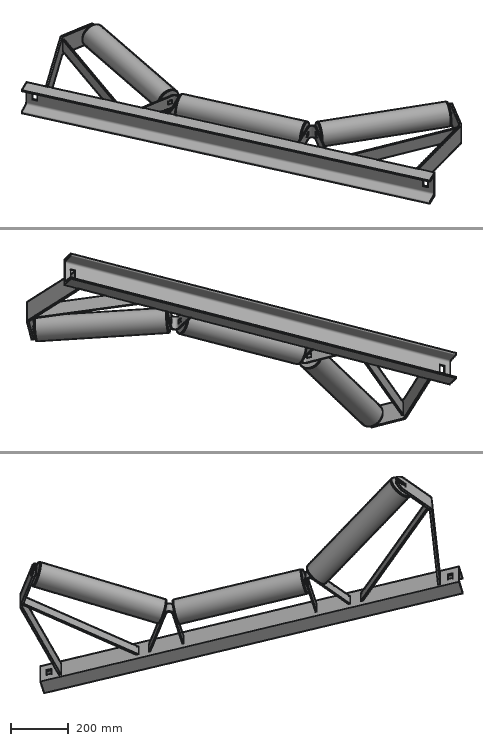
import cadquery as cq
import math


CHANNEL_LENGTH = 1500.0
CHANNEL_HEIGHT = 100.0
CHANNEL_DEPTH = 50.0
WEB_THICKNESS = 6.0
FLANGE_TIP_THICKNESS = 8.0
FLANGE_ROOT_THICKNESS = 10.0
CHANNEL_ROOT_RADIUS = 8.0
CHANNEL_TIP_RADIUS = 5.0
SLOT_WIDTH = 18.0
SLOT_HEIGHT = 32.0
SLOT_END_DISTANCE = 32.0

ROLLER_DIAMETER = 88.0
ROLLER_LENGTH = 464.0
ROLLER_BEVEL_LENGTH = 5.0
ROLLER_BEVEL_DEPTH = 2.0
SHAFT_WIDTH = 14.0
SHAFT_DEPTH = 16.0
TROUGH_ANGLE = 35.0
CENTRE_ROLLER_Y = 115.0
WING_ROLLER_X = 465.0
WING_ROLLER_Y = 262.0

OUTER_HEIGHT = 75.0
INNER_HEIGHT = 50.0
INNER_THICKNESS = 5.0
INNER_GAP = 5.0
INNER_BEND_RADIUS = 16.0
OUTER_THICKNESS = 8.0
OUTER_GAP = 8.0
OUTER_BEND_RADIUS = 18.0
OUTER_TOP_OVER_AXIS = 32.0
OUTER_BEND_UNDER_AXIS = 123.0
OUTER_FOOT_X = 682.0
OUTER_TOP_CHAMFER = 22.0

BRACE_THICKNESS = 6.0
BRACE_HEIGHT = 50.0
BRACE_FOOT_X = 402.0
BRACE_TOP_UNDER_AXIS = 115.0

HALF_ROLLER = ROLLER_LENGTH / 2
INNER_REACH = HALF_ROLLER + INNER_GAP + INNER_THICKNESS
OUTER_REACH = HALF_ROLLER + OUTER_GAP + OUTER_THICKNESS

TILT = math.radians(TROUGH_ANGLE)
WING_AXIS = cq.Vector(math.cos(TILT), math.sin(TILT), 0)
WING_NORMAL = cq.Vector(-math.sin(TILT), math.cos(TILT), 0)
WING_CENTRE = cq.Vector(WING_ROLLER_X, WING_ROLLER_Y, 0)


def wing_point(along, over):
    """Plan point placed along and over the axis of the right wing roller."""
    return WING_CENTRE + WING_AXIS * along + WING_NORMAL * over


def left_normal(direction):
    """Unit plan vector to the left of a direction of travel."""
    return cq.Vector(-direction.y, direction.x, 0).normalized()


def slide_to_mounting_plane(point, direction):
    """Move a point along a direction until it lies on Y = 0."""
    return point - direction * (point.y / direction.y)


def crossing(point_a, direction_a, point_b, direction_b):
    """Plan point where two lines cross."""
    gap = point_b - point_a
    turn = direction_a.cross(direction_b).z
    return point_a + direction_a * (gap.cross(direction_b).z / turn)


def plate(corners, height):
    """Upright plate with the given plan outline, centred on the mid height."""
    outline = [(corner.x, corner.y) for corner in corners]
    return cq.Workplane("XY").polyline(outline).close().extrude(height / 2, both=True)


def folded_plate(outer, inner, thickness, height, bend_radius):
    """Plate with one bend; each face is given as its start, bend and end points."""
    bracket = plate(outer + inner[::-1], height)
    outer_bend = cq.selectors.NearestToPointSelector(outer[1].toTuple())
    inner_bend = cq.selectors.NearestToPointSelector(inner[1].toTuple())
    bracket = bracket.edges("|Z").edges(outer_bend).fillet(bend_radius)
    return bracket.edges("|Z").edges(inner_bend).fillet(bend_radius - thickness)


def place_on_wing(body):
    """Move a body built along the X axis onto the axis of the right wing roller."""
    return body.rotate((0, 0, 0), (0, 0, 1), TROUGH_ANGLE).translate(WING_CENTRE)


def with_mirror_image(body):
    """The right-hand solid and its left-hand copy."""
    return [body.val(), body.mirror("YZ").val()]


def make_channel():
    half_height = CHANNEL_HEIGHT / 2
    root_z = half_height - FLANGE_ROOT_THICKNESS
    tip_z = half_height - FLANGE_TIP_THICKNESS
    channel = (
        cq.Workplane("YZ", origin=(-CHANNEL_LENGTH / 2, 0, 0))
        .moveTo(0, -half_height)
        .lineTo(0, half_height)
        .lineTo(-CHANNEL_DEPTH, half_height)
        .lineTo(-CHANNEL_DEPTH, tip_z)
        .lineTo(-WEB_THICKNESS, root_z)
        .lineTo(-WEB_THICKNESS, -root_z)
        .lineTo(-CHANNEL_DEPTH, -tip_z)
        .lineTo(-CHANNEL_DEPTH, -half_height)
        .close()
        .extrude(CHANNEL_LENGTH)
    )
    for side in (-1, 1):
        root = cq.selectors.NearestToPointSelector((0, -WEB_THICKNESS, side * root_z))
        channel = channel.edges("|X").edges(root).fillet(CHANNEL_ROOT_RADIUS)
        tip = cq.selectors.NearestToPointSelector((0, -CHANNEL_DEPTH, side * tip_z))
        channel = channel.edges("|X").edges(tip).fillet(CHANNEL_TIP_RADIUS)

    slot_x = CHANNEL_LENGTH / 2 - SLOT_END_DISTANCE
    slots = (
        cq.Workplane("XZ")
        .pushPoints([(-slot_x, 0), (slot_x, 0)])
        .rect(SLOT_WIDTH, SLOT_HEIGHT)
        .extrude(WEB_THICKNESS)
    )
    return channel.cut(slots)


def make_shaft(start, end):
    """Flat-sided shaft along the X axis."""
    return (
        cq.Workplane("YZ", origin=(start, 0, 0))
        .rect(SHAFT_DEPTH, SHAFT_WIDTH)
        .extrude(end - start)
    )


def make_roller(left_reach, right_reach):
    """Bevelled roller along the X axis, its shaft reaching past both ends."""
    radius = ROLLER_DIAMETER / 2
    end_radius = radius - ROLLER_BEVEL_DEPTH
    bevel_x = HALF_ROLLER - ROLLER_BEVEL_LENGTH
    barrel = (
        cq.Workplane("XY")
        .moveTo(-HALF_ROLLER, 0)
        .lineTo(-HALF_ROLLER, end_radius)
        .lineTo(-bevel_x, radius)
        .lineTo(bevel_x, radius)
        .lineTo(HALF_ROLLER, end_radius)
        .lineTo(HALF_ROLLER, 0)
        .close()
        .revolve(360, (0, 0, 0), (1, 0, 0))
    )
    return barrel.union(make_shaft(-left_reach, right_reach))


def make_outer_bracket():
    """Folded plate that holds the outer end of the right wing roller."""
    outer_top = wing_point(OUTER_REACH, OUTER_TOP_OVER_AXIS)
    outer_bend = wing_point(OUTER_REACH, -OUTER_BEND_UNDER_AXIS)
    outer_foot = cq.Vector(OUTER_FOOT_X, 0, 0)
    leg = (outer_bend - outer_foot).normalized()

    inner_top = outer_top - WING_AXIS * OUTER_THICKNESS
    leg_face = outer_foot + left_normal(leg) * OUTER_THICKNESS
    inner_bend = crossing(inner_top, WING_NORMAL, leg_face, leg)
    inner_foot = slide_to_mounting_plane(leg_face, leg)
    bracket = folded_plate(
        [outer_foot, outer_bend, outer_top],
        [inner_foot, inner_bend, inner_top],
        OUTER_THICKNESS,
        OUTER_HEIGHT,
        OUTER_BEND_RADIUS,
    )

    top_middle = (outer_top + inner_top) / 2
    for side in (-1, 1):
        corner = top_middle + cq.Vector(0, 0, side * OUTER_HEIGHT / 2)
        corner_edge = cq.selectors.NearestToPointSelector(corner.toTuple())
        bracket = bracket.edges(corner_edge).chamfer(OUTER_TOP_CHAMFER)
    return bracket


def make_shaft_slot():
    """Slot from under the shaft up through the top of the outer bracket."""
    floor = -SHAFT_DEPTH / 2
    slot = cq.Workplane("XY").box(
        OUTER_REACH - HALF_ROLLER,
        OUTER_TOP_OVER_AXIS - floor,
        SHAFT_WIDTH,
        centered=(False, False, True),
    )
    return place_on_wing(slot.translate((HALF_ROLLER, floor, 0)))


def make_inner_bracket():
    """Folded plate between the centre roller and the right wing roller."""
    up = cq.Vector(0, 1, 0)
    face_reach = HALF_ROLLER + INNER_GAP
    back_reach = face_reach + INNER_THICKNESS

    def plate_face(reach):
        centre_foot = cq.Vector(reach, 0, 0)
        wing_side = wing_point(-reach, 0)
        bend = crossing(centre_foot, up, wing_side, WING_NORMAL)
        return [centre_foot, bend, slide_to_mounting_plane(wing_side, WING_NORMAL)]

    return folded_plate(
        plate_face(face_reach),
        plate_face(back_reach),
        INNER_THICKNESS,
        INNER_HEIGHT,
        INNER_BEND_RADIUS,
    )


def make_brace(bracket):
    """Diagonal plate from the channel up to the bend of the right outer bracket."""
    top = wing_point(OUTER_REACH - OUTER_THICKNESS / 2, -BRACE_TOP_UNDER_AXIS)
    foot = cq.Vector(BRACE_FOOT_X, 0, 0)
    run = (top - foot).normalized()
    offset = left_normal(run) * (BRACE_THICKNESS / 2)
    corners = [
        slide_to_mounting_plane(foot - offset, run),
        top - offset,
        top + offset,
        slide_to_mounting_plane(foot + offset, run),
    ]
    return plate(corners, BRACE_HEIGHT).cut(bracket)


channel = make_channel()
centre_roller = make_roller(INNER_REACH, INNER_REACH).translate((0, CENTRE_ROLLER_Y, 0))
wing_roller = place_on_wing(make_roller(INNER_REACH, OUTER_REACH))
outer_bracket = make_outer_bracket().cut(make_shaft_slot())
inner_bracket = make_inner_bracket().cut(centre_roller).cut(wing_roller)
brace = make_brace(outer_bracket)

result = cq.Compound.makeCompound(
    [
        channel.val(),
        centre_roller.val(),
        *with_mirror_image(wing_roller),
        *with_mirror_image(outer_bracket),
        *with_mirror_image(inner_bracket),
        *with_mirror_image(brace),
    ]
)